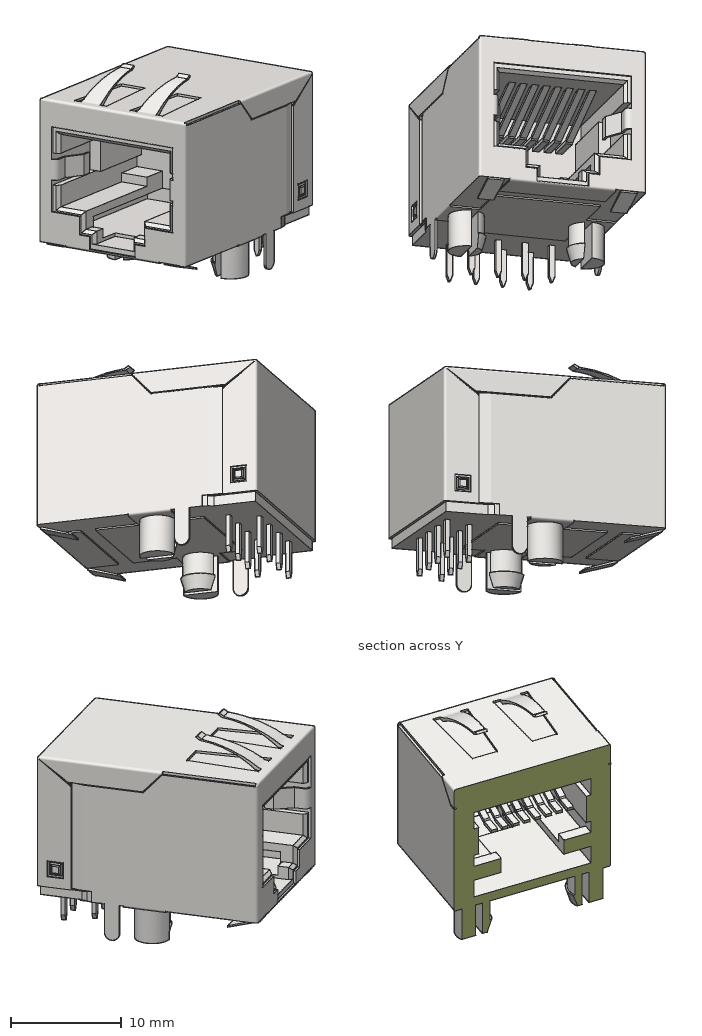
import cadquery as cq
import math

WIDTH = 15.8
LENGTH = 21.15
HEIGHT = 13.42
HALF_WIDTH = WIDTH / 2
SHEET = 0.21
BEND_RADIUS = 0.25
PIN_BOTTOM = -3.45
PEG_BOTTOM = -3.53

SHIELD_TOP = 10.93
SHIELD_STEPS = [(6.51, 2.98), (3.49, 1.27), (2.45, 0.08)]
MOUTH_TOP = 10.53
MOUTH_STEPS = [(6.2, 3.1), (3.47, 1.42), (2.3, 0.55)]
LEAD_IN = 0.32
LEAD_IN_DEPTH = 0.32
CAVITY_BACK = 13.1
CAVITY_FLOOR = 0.87
KEY_END = 1.56
FLOOR_PIT_END = 3.55
SILL_START = 10.57
SILL_TOP = 4.27
UNDERCUT_TOP = 2.66
UNDERCUT_Y = (1.73, 14.8)

CONTACT_COUNT = 8
CONTACT_ROW = 7.63
CONTACT_PITCH = CONTACT_ROW / (CONTACT_COUNT - 1)
CONTACT_WIDTH = 0.61
CONTACT_TIP_Z = 7.38
CONTACT_CURL = 0.13
CONTACT_START_Y = 2.95
CONTACT_ANGLE = 21.0
CONTACT_THICKNESS = 0.32

SPRING_Z = (5.95, 7.89)
SPRING_ROOT_RADIUS = 0.53
SPRING_SLOPE_Y = (1.35, 3.02)
SPRING_TIP_X = 4.99
SPRING_END = 3.91
SPRING_NOTCH_Z = (5.45, 8.43)
SPRING_NOTCH_END = 6.35
SPRING_RIB_X = 5.4

FINGER_SPACING = 6.02
FINGER_WINDOW_Y = (1.04, 8.08)
FINGER_WINDOW_WIDTH = (3.49, 2.54)
FINGER_WIDTH = (2.05, 1.1)
FINGER_TIP_Y = 7.46
FINGER_TOP = 15.62
FINGER_THICKNESS = 0.15
FINGER_ARCH = [(1.56, 13.21), (4.55, 14.8), (7.02, 15.22)]
FINGER_BEND = (1.31, 13.5)
FINGER_TIP_BEVEL = 0.2

PAD_BOTTOM = -0.15
PAD_TOP = 0.08
CENTRE_PAD_HALF = 5.03
CENTRE_PAD_Y = (4.65, 15.05)
PEG_PAD_Y = (8.8, 12.9)
FRONT_PAD_END = 3.23
FOOT_X = (5.52, 7.06)
FOOT_Y = (0.08, 3.17)
FOOT_DROP = 0.93
FOOT_ROOT = 0.21

PEG_X = 5.69
PEG_Y = 10.85
PEG_RADIUS = 1.63
PEG_SPLIT_X = 5.03
HOOK_Z = -2.18
HOOK_RADIUS = 1.8
HOOK_END_RADIUS = 1.4

GROUND_PIN_Y = 13.95
GROUND_PIN_WIDTH = 1.42

PIN_COUNT = 8
PIN_PITCH = 1.27
PIN_ROWS = (19.75, 17.23)
PIN_WIDTH = 0.55
PIN_DEPTH = 0.4
PIN_TAPER_Z = -2.9
PIN_END_WIDTH = 0.13

TOP_SLOT_END = 9.15
FLAP_BOTTOM = 11.23
FLAP_Y = (10.95, 18.15)
REAR_FLAP_Y = 17.85
REAR_FLAP_TOP = 10.93
SEAM = 0.08
RAMP_Y = (16.7, 17.7)
RAMP_DEPTH = 0.25
SKIRT_TOP = 0.93
SKIRT_CUT_TOP = 1.01
SKIRT_STEP_Y = (15.9, 16.36, 16.91)
SKIRT_DEPTH = (0.08, 0.32)
HOUSING_BACK = 20.89
LATCH_Y = 19.36
LATCH_Z = 2.68
LATCH_WINDOW = 1.52
LATCH_TIERS = [(1.18, 0.93), (0.85, 0.63)]
LATCH_TIER_HEIGHT = 0.08


def box(x, y, z):
    """Block between the (low, high) limits on each axis."""
    size = [high - low for low, high in (x, y, z)]
    return cq.Workplane("XY").box(*size, centered=False).translate((x[0], y[0], z[0]))


def both_sides(shape):
    """The shape together with its mirror image across X = 0."""
    return shape.union(shape.mirror("YZ"))


def extrude_y(points, y_start, y_end):
    """(X, Z) outline extruded along Y."""
    plane = cq.Workplane("XZ", origin=(0, y_start, 0))
    return plane.polyline(points).close().extrude(y_start - y_end)


def side_cut(points, depth):
    """(Y, Z) outline sunk into the -X side."""
    plane = cq.Workplane("YZ", origin=(-HALF_WIDTH, 0, 0))
    return plane.polyline(points).close().extrude(depth)


def stepped_outline(top, steps):
    """Symmetric (X, Z) outline that narrows in steps towards the bottom."""
    right = [(steps[0][0], top)]
    for index, (half, low) in enumerate(steps):
        right.append((half, low))
        if index + 1 < len(steps):
            right.append((steps[index + 1][0], low))
    return right + [(-x, z) for x, z in reversed(right)]


def shield_box():
    body = box((-HALF_WIDTH, HALF_WIDTH), (0, LENGTH), (0, HEIGHT))
    body = body.edges("|Z or >Z").fillet(BEND_RADIUS)
    corner_slot = box(
        (-HALF_WIDTH, -HALF_WIDTH + BEND_RADIUS),
        (BEND_RADIUS, TOP_SLOT_END),
        (HEIGHT - BEND_RADIUS, HEIGHT),
    )
    return body.cut(both_sides(corner_slot))


def plug_cavity():
    shield_opening = extrude_y(stepped_outline(SHIELD_TOP, SHIELD_STEPS), 0, SHEET)
    floor = MOUTH_STEPS[-1][1]
    inner_top = MOUTH_TOP - LEAD_IN
    inner_steps = [(half - LEAD_IN, low + LEAD_IN) for half, low in MOUTH_STEPS[:-1]]
    inner_steps.append((MOUTH_STEPS[-1][0] - LEAD_IN, floor))
    lead_in_end = SHEET + LEAD_IN_DEPTH
    lead_in = (
        cq.Workplane("XZ", origin=(0, SHEET, 0))
        .polyline(stepped_outline(MOUTH_TOP, MOUTH_STEPS)).close()
        .workplane(offset=-LEAD_IN_DEPTH)
        .polyline(stepped_outline(inner_top, inner_steps)).close()
        .loft(ruled=True)
    )
    ledge_half, ledge_top = inner_steps[0]
    key_half = inner_steps[1][0]
    entry = extrude_y(stepped_outline(inner_top, inner_steps), lead_in_end, KEY_END)
    ledges = [(ledge_half, ledge_top), (key_half, CAVITY_FLOOR)]
    main = extrude_y(stepped_outline(inner_top, ledges), KEY_END, CAVITY_BACK)
    undercut = box((-ledge_half, ledge_half), UNDERCUT_Y, (CAVITY_FLOOR, UNDERCUT_TOP))
    pit_half = inner_steps[2][0]
    pit = box((-pit_half, pit_half), (KEY_END, FLOOR_PIT_END), (floor, CAVITY_FLOOR))
    sill = box((-ledge_half, -key_half), (SILL_START, CAVITY_BACK), (ledge_top, SILL_TOP))
    rib = box((-ledge_half, -SPRING_RIB_X), (SPRING_NOTCH_END, CAVITY_BACK), SPRING_NOTCH_Z)
    notch = box((-SHIELD_STEPS[0][0], -SPRING_RIB_X), (SHEET, SPRING_NOTCH_END), SPRING_NOTCH_Z)
    cavity = shield_opening.union(lead_in).union(entry).union(main).union(undercut).union(pit)
    return cavity.cut(both_sides(rib.union(sill))).union(both_sides(notch))


def plug_contacts():
    """Sloping contacts that run from the cavity ceiling back to its rear wall."""
    ceiling = MOUTH_TOP - LEAD_IN
    curl_z = CONTACT_TIP_Z + CONTACT_CURL
    run = (ceiling - curl_z) / math.tan(math.radians(CONTACT_ANGLE))
    curl_y = CONTACT_START_Y + run
    rise = CONTACT_THICKNESS / math.cos(math.radians(CONTACT_ANGLE))
    profile = [
        (CONTACT_START_Y, ceiling),
        (curl_y, curl_z),
        (curl_y + CONTACT_CURL, CONTACT_TIP_Z),
        (CAVITY_BACK, CONTACT_TIP_Z),
        (CAVITY_BACK, CONTACT_TIP_Z + rise),
        (curl_y + CONTACT_CURL, CONTACT_TIP_Z + rise),
        (curl_y, curl_z + rise),
        (CONTACT_START_Y, ceiling + rise),
    ]
    contact = cq.Workplane("YZ").polyline(profile).close().extrude(CONTACT_WIDTH / 2, both=True)
    row = cq.Workplane("XY")
    for index in range(CONTACT_COUNT):
        x = (index - (CONTACT_COUNT - 1) / 2) * CONTACT_PITCH
        row = row.union(contact.translate((x, 0, 0)))
    return row


def side_spring():
    """Spring on the +X side, curving from the shield opening into the cavity."""
    root_x = SHIELD_STEPS[0][0]
    arm_x = root_x - SPRING_ROOT_RADIUS
    slope_start, slope_end = SPRING_SLOPE_Y
    inner_radius = SPRING_ROOT_RADIUS - SHEET
    diagonal = math.sqrt(0.5)
    outer_middle = (root_x - SPRING_ROOT_RADIUS * diagonal, SPRING_ROOT_RADIUS * (1 - diagonal))
    inner_middle = (root_x - inner_radius * diagonal, SPRING_ROOT_RADIUS - inner_radius * diagonal)
    low, high = SPRING_Z
    return (
        cq.Workplane("XY", origin=(0, 0, low))
        .moveTo(root_x, 0)
        .threePointArc(outer_middle, (arm_x, SPRING_ROOT_RADIUS))
        .lineTo(arm_x, slope_start)
        .lineTo(SPRING_TIP_X, slope_end)
        .lineTo(SPRING_TIP_X, SPRING_END)
        .lineTo(SPRING_TIP_X + SHEET, SPRING_END)
        .lineTo(SPRING_TIP_X + SHEET, slope_end + SHEET / 2)
        .lineTo(arm_x + SHEET, slope_start + SHEET / 2)
        .lineTo(arm_x + SHEET, SPRING_ROOT_RADIUS)
        .threePointArc(inner_middle, (root_x, SHEET))
        .close()
        .extrude(high - low)
    )


def taper(widths, y_ends, z, height):
    """Flat tapered plate, symmetric about X = 0."""
    half_front, half_rear = (width / 2 for width in widths)
    front, rear = y_ends
    points = [(-half_front, front), (half_front, front), (half_rear, rear), (-half_rear, rear)]
    return cq.Workplane("XY", origin=(0, 0, z)).polyline(points).close().extrude(height)


def finger_window():
    return taper(FINGER_WINDOW_WIDTH, FINGER_WINDOW_Y, HEIGHT - SHEET, SHEET)


def grounding_finger():
    """Arched finger with an upturned tip, rising from the front edge of its window."""
    root_y = FINGER_WINDOW_Y[0]
    root_z = HEIGHT - SHEET
    arch_start, arch_middle, curl = FINGER_ARCH
    curl_y, curl_z = curl
    middle_y, middle_z = arch_middle
    side = (
        cq.Workplane("YZ", origin=(-FINGER_WIDTH[0] / 2, 0, 0))
        .moveTo(root_y, root_z)
        .lineTo(*arch_start)
        .threePointArc(arch_middle, curl)
        .lineTo(FINGER_TIP_Y, FINGER_TOP - FINGER_THICKNESS)
        .lineTo(FINGER_TIP_Y - FINGER_TIP_BEVEL, FINGER_TOP)
        .lineTo(curl_y - FINGER_THICKNESS, curl_z + FINGER_THICKNESS)
        .threePointArc((middle_y, middle_z + FINGER_THICKNESS), FINGER_BEND)
        .lineTo(root_y, HEIGHT)
        .close()
        .extrude(FINGER_WIDTH[0])
    )
    outline = taper(FINGER_WIDTH, (root_y, FINGER_TIP_Y), root_z, FINGER_TOP - root_z)
    return side.intersect(outline)


def side_details():
    """Cuts in the -X side: flap seams, ramped groove and stepped skirt."""
    flap_rear = (LENGTH - BEND_RADIUS, HEIGHT - BEND_RADIUS)
    flap_front = (TOP_SLOT_END, HEIGHT - BEND_RADIUS)
    flap_low_front, flap_low_rear = FLAP_Y
    seams = [
        flap_rear,
        (REAR_FLAP_Y, REAR_FLAP_TOP),
        (REAR_FLAP_Y, SKIRT_TOP),
        (REAR_FLAP_Y - SEAM, SKIRT_TOP),
        (REAR_FLAP_Y - SEAM, REAR_FLAP_TOP),
        (flap_low_rear - SEAM, FLAP_BOTTOM),
        (flap_low_front, FLAP_BOTTOM),
        flap_front,
        (flap_front[0] + SEAM, flap_front[1]),
        (flap_low_front + SEAM / 2, FLAP_BOTTOM + SEAM),
        (flap_low_rear, FLAP_BOTTOM + SEAM),
    ]
    cuts = side_cut(seams, SHEET)

    ramp = (
        cq.Workplane("XY", origin=(-HALF_WIDTH, 0, SKIRT_CUT_TOP))
        .polyline([
            (0, RAMP_Y[0]), (RAMP_DEPTH, RAMP_Y[1]),
            (RAMP_DEPTH, REAR_FLAP_Y), (0, REAR_FLAP_Y),
        ]).close()
        .extrude(FLAP_BOTTOM - SKIRT_CUT_TOP)
    )
    step_y, slope_start, slope_end = SKIRT_STEP_Y
    shallow, deep = SKIRT_DEPTH
    skirt = (
        cq.Workplane("XY", origin=(-HALF_WIDTH, 0, 0))
        .polyline([
            (0, step_y), (shallow, step_y), (shallow, slope_start),
            (deep, slope_end), (deep, LENGTH), (0, LENGTH),
        ]).close()
        .extrude(SKIRT_TOP)
    )
    skirt_rise = box(
        (-HALF_WIDTH, -HALF_WIDTH + shallow), (step_y, REAR_FLAP_Y), (SKIRT_TOP, SKIRT_CUT_TOP)
    )
    return cuts.union(ramp).union(skirt).union(skirt_rise)


def latch_window():
    """Square window in the rear flap around a tapered latch stud."""
    half = LATCH_WINDOW / 2
    floor_x = -HALF_WIDTH + len(LATCH_TIERS) * LATCH_TIER_HEIGHT
    window = box(
        (-HALF_WIDTH, floor_x), (LATCH_Y - half, LATCH_Y + half), (LATCH_Z - half, LATCH_Z + half)
    )
    for tier, (base, top) in enumerate(LATCH_TIERS):
        stud = (
            cq.Workplane("YZ", origin=(floor_x - tier * LATCH_TIER_HEIGHT, LATCH_Y, LATCH_Z))
            .rect(base, base)
            .workplane(offset=-LATCH_TIER_HEIGHT)
            .rect(top, top)
            .loft(ruled=True)
        )
        window = window.cut(stud)
    return window


def split_peg():
    """Board peg on the +X side, split in two, with a hook on the inner half."""
    full = cq.Workplane("XY", origin=(PEG_X, PEG_Y, 0)).circle(PEG_RADIUS).extrude(PEG_BOTTOM)
    hook = (
        cq.Workplane("XY", origin=(PEG_X, PEG_Y, HOOK_Z))
        .circle(HOOK_RADIUS)
        .workplane(offset=PEG_BOTTOM - HOOK_Z)
        .circle(HOOK_END_RADIUS)
        .loft()
    )
    y_span = (PEG_Y - PEG_RADIUS, PEG_Y + PEG_RADIUS)
    inner_x = (PEG_X - HOOK_RADIUS, PEG_SPLIT_X)
    shank = full.intersect(box(inner_x, y_span, (HOOK_Z, 0)))
    hook = hook.intersect(box(inner_x, y_span, (PEG_BOTTOM, HOOK_Z)))
    outer = full.intersect(box((PEG_X, PEG_X + PEG_RADIUS), y_span, (PEG_BOTTOM, 0)))
    return outer.union(shank).union(hook)


def ground_pin():
    """Round-ended shield pin hanging from the +X side."""
    half = GROUND_PIN_WIDTH / 2
    return (
        cq.Workplane("YZ", origin=(HALF_WIDTH - SHEET, 0, 0))
        .moveTo(GROUND_PIN_Y - half, SKIRT_TOP)
        .lineTo(GROUND_PIN_Y - half, PIN_BOTTOM + half)
        .threePointArc((GROUND_PIN_Y, PIN_BOTTOM), (GROUND_PIN_Y + half, PIN_BOTTOM + half))
        .lineTo(GROUND_PIN_Y + half, SKIRT_TOP)
        .close()
        .extrude(SHEET)
    )


def solder_pins():
    """Pointed pins alternating between two rows."""
    half, end_half = PIN_WIDTH / 2, PIN_END_WIDTH / 2
    outline = [
        (-half, 0), (half, 0), (half, PIN_TAPER_Z),
        (end_half, PIN_BOTTOM), (-end_half, PIN_BOTTOM), (-half, PIN_TAPER_Z),
    ]
    pin = extrude_y(outline, -PIN_DEPTH / 2, PIN_DEPTH / 2)
    pins = cq.Workplane("XY")
    for index in range(PIN_COUNT):
        x = (index - (PIN_COUNT - 1) / 2) * PIN_PITCH
        pins = pins.union(pin.translate((x, PIN_ROWS[index % 2], 0)))
    return pins


def underside_pads():
    """Folded bottom sheets of the shield and the housing pad between them."""
    centre = box((-CENTRE_PAD_HALF, CENTRE_PAD_HALF), CENTRE_PAD_Y, (PAD_BOTTOM, 0))
    front = box((-CENTRE_PAD_HALF, CENTRE_PAD_HALF), (0, FRONT_PAD_END), (PAD_BOTTOM, PAD_TOP))
    front = front.edges("<Y and <Z").fillet(SHEET)
    beside_peg = box((CENTRE_PAD_HALF, HALF_WIDTH), PEG_PAD_Y, (PAD_BOTTOM, PAD_TOP))
    beside_peg = beside_peg.edges(">X and <Z").fillet(SHEET)
    return centre.union(front).union(both_sides(beside_peg))


def pad_corners():
    """Body corners in front of the rounded pad edges."""
    front = box((-CENTRE_PAD_HALF, CENTRE_PAD_HALF), (0, SHEET), (0, PAD_TOP))
    side = box((HALF_WIDTH - SHEET, HALF_WIDTH), PEG_PAD_Y, (0, PAD_TOP))
    return front.union(both_sides(side))


def spring_foot():
    """Sloping spring tab under the front, on the +X side."""
    front, rear = FOOT_Y
    profile = [
        (front, 0), (front, PAD_BOTTOM),
        (rear, PAD_BOTTOM - FOOT_DROP), (rear, -FOOT_DROP),
        (front + FOOT_ROOT, 0),
    ]
    plane = cq.Workplane("YZ", origin=(FOOT_X[0], 0, 0))
    return plane.polyline(profile).close().extrude(FOOT_X[1] - FOOT_X[0])


result = shield_box().cut(plug_cavity()).union(plug_contacts())
result = result.union(both_sides(side_spring()))

for finger_x in (-FINGER_SPACING / 2, FINGER_SPACING / 2):
    result = result.cut(finger_window().translate((finger_x, 0, 0)))
    result = result.union(grounding_finger().translate((finger_x, 0, 0)))

rear_skirt = box((-HALF_WIDTH, HALF_WIDTH), (HOUSING_BACK, LENGTH), (0, SKIRT_TOP))
result = result.cut(both_sides(side_details().union(latch_window()))).cut(rear_skirt)

result = result.cut(pad_corners()).union(underside_pads())
result = result.union(both_sides(split_peg().union(ground_pin()).union(spring_foot())))
result = result.union(solder_pins())